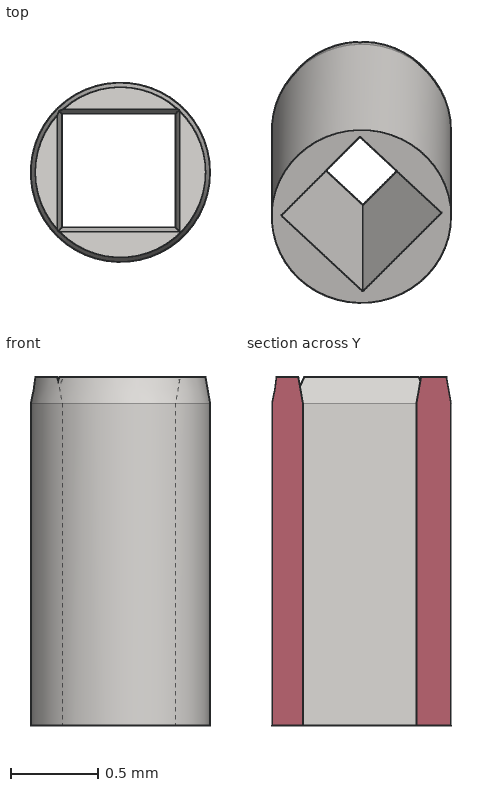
import cadquery as cq
import math

height = 2.0
outer_diameter = 1.03
hole_side = 0.65
hole_offset_x = -0.01
hole_offset_y = 0.01

lead_in_height = 0.15
lead_in_angle = 10.0

lead_in_inset = lead_in_height * math.tan(math.radians(lead_in_angle))
shoulder_z = height - lead_in_height
mouth_side = hole_side + 2 * lead_in_inset


def make_body():
    """Round sleeve with a conical rim at the top."""
    outer_radius = outer_diameter / 2
    rim_radius = outer_radius - lead_in_inset
    profile = (
        cq.Workplane("XZ")
        .moveTo(0, 0)
        .lineTo(outer_radius, 0)
        .lineTo(outer_radius, shoulder_z)
        .lineTo(rim_radius, height)
        .lineTo(0, height)
        .close()
    )
    return profile.revolve(360, (0, 0, 0), (0, 1, 0))


def make_square_hole():
    """Square through hole, slightly off the sleeve axis."""
    return (
        cq.Workplane("XY")
        .center(hole_offset_x, hole_offset_y)
        .rect(hole_side, hole_side)
        .extrude(height)
    )


def make_hole_mouth():
    """Flared square entry that widens toward the top face."""
    return (
        cq.Workplane("XY", origin=(hole_offset_x, hole_offset_y, shoulder_z))
        .rect(hole_side, hole_side)
        .workplane(offset=lead_in_height)
        .rect(mouth_side, mouth_side)
        .loft(ruled=True)
    )


result = make_body().cut(make_square_hole()).cut(make_hole_mouth())